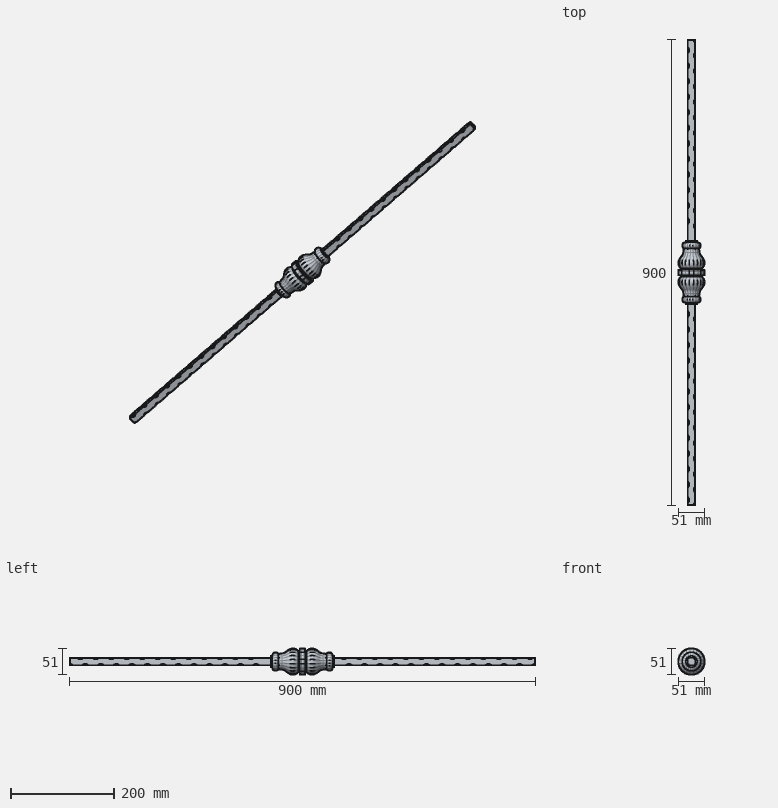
import cadquery as cq
import math

bar_length = 900.0
bar_width = 14.0

dent_radius = 8.0
dent_offset = 4.1
dent_pitch = bar_length / 30
dent_stagger = 10.0
dent_free_half = 72.0

facet_count = 20
collar_half_length = 61.0
collar_diameter = 51.0
collar_radius = collar_diameter / 2
collar_end_radius = 11.0

disc_flat_half = 3.0
disc_half_width = 5.0
disc_rim_radius = 25.0
valley_radius = 21.0
bulb_start = 8.0
neck_end = 40.0
neck_end_radius = 16.0
groove_start = 45.0
groove_radius = 15.0
ring_start = 47.0
ring_crest = 51.0
ring_crest_radius = 18.0
ring_end = 58.5

bulb_points = [(collar_radius, 19.0), (22.0, 29.0), (neck_end_radius, neck_end)]
parallel_to_axis = (0, 1)
bulb_directions = [(1, 1), parallel_to_axis, (-0.7, 1), parallel_to_axis]


def collar_half_profile(height):
    """Outline from the axis to the flats for the +Y half, drawn at this Z."""
    return (
        cq.Workplane("XY", origin=(0, 0, height))
        .lineTo(collar_radius, 0)
        .lineTo(collar_radius, disc_flat_half)
        .lineTo(disc_rim_radius, disc_half_width)
        .lineTo(valley_radius, disc_half_width)
        .lineTo(valley_radius, bulb_start)
        .spline(bulb_points, tangents=bulb_directions, includeCurrent=True)
        .lineTo(groove_radius, groove_start)
        .lineTo(groove_radius, ring_start)
        .threePointArc((ring_crest_radius, ring_crest), (collar_end_radius, ring_end))
        .lineTo(collar_end_radius, collar_half_length)
        .lineTo(0, collar_half_length)
        .close()
    )


def collar_sector():
    """One flat of the collar over its whole length, cut to a wedge with its tip on the axis."""
    facet_angle = 2 * math.pi / facet_count
    reach = 1.2 * collar_radius
    half_spread = reach * math.tan(facet_angle / 2)
    half = collar_half_profile(-half_spread).extrude(2 * half_spread)
    wedge = (
        cq.Workplane("XZ")
        .polyline([(0, 0), (reach, half_spread), (reach, -half_spread)])
        .close()
        .extrude(collar_half_length, both=True)
    )
    return half.union(half.mirror("XZ")).intersect(wedge)


def make_collar():
    """Equal sectors set around Y, so that every cross-section is a regular polygon."""
    sector = collar_sector().val()
    sectors = [
        sector.rotate(cq.Vector(0, 0, 0), cq.Vector(0, 1, 0), i * 360 / facet_count)
        for i in range(facet_count)
    ]
    return cq.Workplane("XY").newObject([sectors[0].fuse(*sectors[1:])])


def dent_positions(shift):
    """Places along Y of the dents on one edge, clear of the collar."""
    count = round(bar_length / dent_pitch) + 1
    places = [bar_length / 2 - i * dent_pitch + shift for i in range(count)]
    return [y for y in places if dent_free_half < abs(y) <= bar_length / 2 + dent_radius]


def make_dents():
    """Balls along the four edges; diagonally opposite edges share their positions."""
    reach = bar_width / 2 + dent_offset
    balls = []
    for side in (1, -1):
        for hand, shift in ((1, 0), (-1, dent_stagger)):
            for y in dent_positions(shift):
                ball = cq.Solid.makeSphere(dent_radius, angleDegrees1=-90)
                balls.append(ball.translate(cq.Vector(side * reach, y, side * hand * reach)))
    return cq.Workplane("XY").newObject([cq.Compound.makeCompound(balls)])


bar = cq.Workplane("XY").box(bar_width, bar_length, bar_width)
result = bar.cut(make_dents()).union(make_collar())